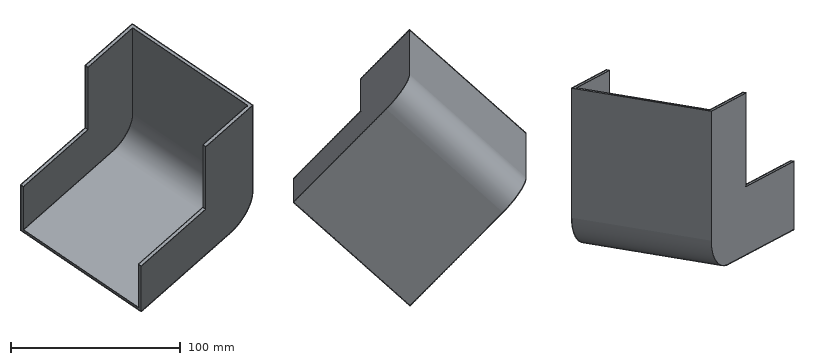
import cadquery as cq

wall = 2.2
inner_width = 90.0
inner_depth = 40.0
leg_length = 100.0
outer_radius = 20.0

outer_width = inner_width + 2 * wall
leg_depth = inner_depth + wall
inner_radius = outer_radius - wall
half_length = leg_length / 2


def l_prism(width, inset, corner_radius):
    """L-shaped prism along X, with its two outer faces moved in by inset and its outer corner rounded."""
    back = half_length - inset
    bottom = inset - half_length
    inner_corner_y = half_length - leg_depth
    inner_corner_z = leg_depth - half_length
    return (
        cq.Workplane("YZ")
        .moveTo(-half_length, bottom)
        .lineTo(back - corner_radius, bottom)
        .radiusArc((back, bottom + corner_radius), -corner_radius)
        .lineTo(back, half_length)
        .lineTo(inner_corner_y, half_length)
        .lineTo(inner_corner_y, inner_corner_z)
        .lineTo(-half_length, inner_corner_z)
        .close()
        .extrude(width / 2, both=True)
    )


body = l_prism(outer_width, 0, outer_radius)
channel = l_prism(inner_width, wall, inner_radius)
result = body.cut(channel)